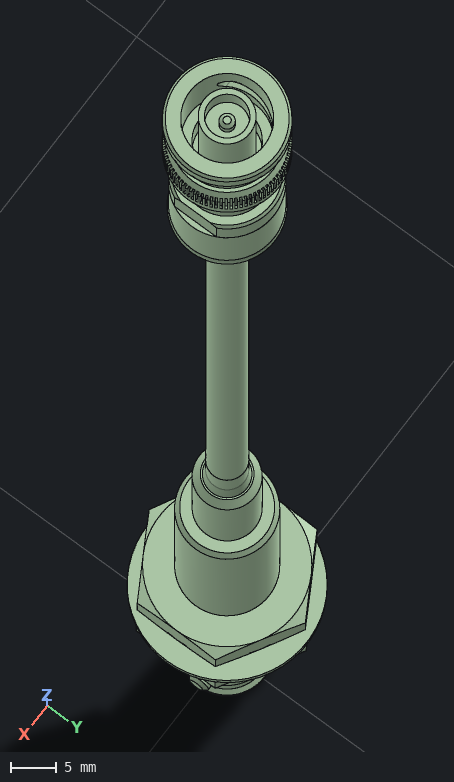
import cadquery as cq
import math

JACK_RIM_TOP = 1.4
JACK_NECK_TOP = 4.5
JACK_GROOVE_Z = 11.0
THREAD_BOTTOM = 23.1
NUT_BOTTOM = 25.0
NUT_HEIGHT = 3.2
WASHER_THICKNESS = 1.0
THREAD_GROOVE_BOTTOM = 30.5
THREAD_GROOVE_TOP = 32.2
HEX_FLANGE_BOTTOM = 33.0
HEX_FLANGE_TOP = 37.0
JACK_TOP = 61.5
FERRULE_TOP = 75.5
FERRULE_CONE_TOP = 77.5
CABLE_BOTTOM = 81.6
CABLE_TOP = 174.2
BOOT_CONE_BOTTOM = 185.7
BOOT_CONE_TOP = 187.3
BOOT_SHOULDER = 189.8
BOOT_TOP = 199.4
COLLAR_TOP = 203.5
COUPLING_BOTTOM = 211.0
KNURL_RING_BOTTOM = 212.7
KNURL_BOTTOM = 214.0
KNURL_TOP = 217.7
LIP_BOTTOM = 223.0
COUPLING_TOP = 226.0
TIP_TOP = 226.8

CABLE_RADIUS = 4.8 / 2
FERRULE_RADIUS = 3.9
FERRULE_CHAMFER = 1.0
FERRULE_CONE_RADIUS = 2.7
BOOT_RADIUS = 13.0 / 2
BOOT_CONE_RADIUS = 5.7
BOOT_CONE_FOOT_RADIUS = 3.2
BOOT_THROAT_HEIGHT = 0.7

JACK_RADIUS = 11.5 / 2
JACK_CHAMFER = 0.57
BARREL_RADIUS = 10.2 / 2
JACK_NECK_RADIUS = 4.5
JACK_EDGE = 0.5
JACK_GROOVE_WIDTH = 0.5
JACK_GROOVE_DEPTH = 0.2
LUG_RADIUS = 1.4
LUG_REACH = 5.7
LUG_EDGE = 0.5
LUG_Z = 3.0
THREAD_RADIUS = 12.5 / 2
THREAD_GROOVE_RADIUS = 5.7
FLANGE_ACROSS_FLATS = 18.5
NUT_ACROSS_FLATS = 18.8
FLANGE_CHAMFER_ANGLE = 20
NUT_CHAMFER_ANGLE = 30
WASHER_RADIUS = 22.0 / 2
WASHER_TEETH = 8
WASHER_GAP_REACH = 7.7
WASHER_GAP_WIDTH = 1.4

COLLAR_FLATS = 11.5
COLLAR_CHAMFER = 0.35
COUPLING_RADIUS = 14.3 / 2
COUPLING_FOOT_RADIUS = 13.0 / 2
COUPLING_NECK_RADIUS = 11.5 / 2
COUPLING_CHAMFER = 0.7
LIP_TOP_CHAMFER = 0.35
KNURL_COUNT = 80
KNURL_DEPTH = 0.35
KNURL_GROOVE_WIDTH = 0.27
KNURL_CHAMFER = 1.0
BAYONET_SLOT_LENGTH = 8.2
BAYONET_SLOT_WIDTH = 2.3
BAYONET_SLOT_TILT = 22
SHELL_TOP = 216.5
SHELL_BORE_RADIUS = 3.9
SHELL_BORE_DEPTH = 4.5
TIP_RADIUS = 3.2
TIP_BORE_RADIUS = 2.5
TIP_BORE_DEPTH = 3.5
PIN_RADIUS = 1.0
PIN_CHAMFER = 0.5
PIN_LENGTH = 6.8


def cylinder(radius, bottom, top):
    return cq.Workplane("XY").workplane(offset=bottom).circle(radius).extrude(top - bottom)


def ring(outer, inner, bottom, top):
    return cylinder(outer, bottom, top).cut(cylinder(inner, bottom, top))


def turned(outline):
    """Solid turned about Z from (radius, z) points that start and end on the axis."""
    return cq.Workplane("XZ").polyline(outline).close().revolve(360, (0, 0), (0, 1))


def hexagon(across_flats, bottom, height, chamfer_angle, chamfer_bottom):
    """Hexagon with flats facing X, its corners cut off by cones that start at the flats."""
    corner_radius = across_flats / math.sqrt(3)
    flat_radius = across_flats / 2
    drop = (corner_radius - flat_radius) * math.tan(math.radians(chamfer_angle))
    top = bottom + height
    prism = (
        cq.Workplane("XY")
        .workplane(offset=bottom)
        .transformed(rotate=(0, 0, 90))
        .polygon(6, 2 * corner_radius)
        .extrude(height)
    )
    envelope = [(0, bottom)]
    if chamfer_bottom:
        envelope += [(flat_radius, bottom), (corner_radius, bottom + drop)]
    else:
        envelope += [(corner_radius, bottom)]
    envelope += [(corner_radius, top - drop), (flat_radius, top), (0, top)]
    return prism.intersect(turned(envelope))


def make_cable():
    return cylinder(CABLE_RADIUS, CABLE_BOTTOM, CABLE_TOP)


def make_ferrule():
    """Crimp sleeve standing on the jack, with a tail that meets the cable."""
    return turned([
        (0, JACK_TOP),
        (FERRULE_RADIUS, JACK_TOP),
        (FERRULE_RADIUS, FERRULE_TOP - FERRULE_CHAMFER),
        (FERRULE_RADIUS - FERRULE_CHAMFER, FERRULE_TOP),
        (FERRULE_CONE_RADIUS, FERRULE_TOP),
        (CABLE_RADIUS, FERRULE_CONE_TOP),
        (CABLE_RADIUS, CABLE_BOTTOM),
        (0, CABLE_BOTTOM),
    ])


def make_boot():
    """Strain relief: a round-shouldered barrel that tapers to a tail on the cable."""
    return (
        cq.Workplane("XZ")
        .moveTo(0, CABLE_TOP)
        .lineTo(CABLE_RADIUS, CABLE_TOP)
        .lineTo(CABLE_RADIUS, BOOT_CONE_BOTTOM - BOOT_THROAT_HEIGHT)
        .lineTo(BOOT_CONE_FOOT_RADIUS, BOOT_CONE_BOTTOM)
        .lineTo(BOOT_CONE_RADIUS, BOOT_CONE_TOP)
        .tangentArcPoint((BOOT_RADIUS, BOOT_SHOULDER), relative=False)
        .lineTo(BOOT_RADIUS, BOOT_TOP)
        .lineTo(0, BOOT_TOP)
        .close()
        .revolve(360, (0, 0), (0, 1))
    )


def make_jack():
    """Bayonet jack with two lugs, a grooved thread and a hexagonal flange."""
    groove_radius = BARREL_RADIUS - JACK_GROOVE_DEPTH
    jack = turned([
        (0, 0),
        (BARREL_RADIUS - JACK_EDGE, 0),
        (BARREL_RADIUS, JACK_EDGE),
        (BARREL_RADIUS, JACK_RIM_TOP - JACK_EDGE),
        (JACK_NECK_RADIUS, JACK_RIM_TOP),
        (JACK_NECK_RADIUS, JACK_NECK_TOP),
        (BARREL_RADIUS, JACK_NECK_TOP + JACK_EDGE),
        (BARREL_RADIUS, JACK_GROOVE_Z - JACK_GROOVE_WIDTH / 2),
        (groove_radius, JACK_GROOVE_Z),
        (BARREL_RADIUS, JACK_GROOVE_Z + JACK_GROOVE_WIDTH / 2),
        (BARREL_RADIUS, THREAD_BOTTOM),
        (THREAD_RADIUS, THREAD_BOTTOM + THREAD_RADIUS - BARREL_RADIUS),
        (THREAD_RADIUS, THREAD_GROOVE_BOTTOM),
        (THREAD_GROOVE_RADIUS, (THREAD_GROOVE_BOTTOM + THREAD_GROOVE_TOP) / 2),
        (THREAD_RADIUS, THREAD_GROOVE_TOP),
        (THREAD_RADIUS, HEX_FLANGE_BOTTOM),
        (JACK_RADIUS, HEX_FLANGE_BOTTOM),
        (JACK_RADIUS, JACK_TOP - JACK_CHAMFER),
        (JACK_RADIUS - JACK_CHAMFER, JACK_TOP),
        (0, JACK_TOP),
    ])
    flange_height = HEX_FLANGE_TOP - HEX_FLANGE_BOTTOM
    flange = hexagon(FLANGE_ACROSS_FLATS, HEX_FLANGE_BOTTOM, flange_height, FLANGE_CHAMFER_ANGLE, True)
    jack = jack.union(flange)
    lugs = (
        cq.Workplane("YZ", origin=(-LUG_REACH, 0, LUG_Z))
        .circle(LUG_RADIUS)
        .extrude(2 * LUG_REACH)
        .faces("<X or >X")
        .chamfer(LUG_EDGE)
    )
    return jack.union(lugs)


def make_nut():
    """Hexagonal nut on the thread of the jack."""
    nut = hexagon(NUT_ACROSS_FLATS, NUT_BOTTOM, NUT_HEIGHT, NUT_CHAMFER_ANGLE, False)
    return nut.cut(cylinder(THREAD_RADIUS, NUT_BOTTOM, NUT_BOTTOM + NUT_HEIGHT))


def make_washer():
    """Lock washer whose inner teeth are parted by radial gaps."""
    bottom = NUT_BOTTOM + NUT_HEIGHT
    top = bottom + WASHER_THICKNESS
    washer = ring(WASHER_RADIUS, THREAD_RADIUS, bottom, top)
    gaps = (
        cq.Workplane("XY")
        .workplane(offset=bottom)
        .polarArray(WASHER_GAP_REACH / 2, 180 / WASHER_TEETH, 360, WASHER_TEETH)
        .rect(WASHER_GAP_REACH, WASHER_GAP_WIDTH)
        .extrude(WASHER_THICKNESS)
    )
    return washer.cut(gaps)


def make_plug_body():
    """Plug shell: a collar with two wrench flats, a tube and an inner hollow tip."""
    body = turned([
        (0, BOOT_TOP),
        (BOOT_RADIUS, BOOT_TOP),
        (BOOT_RADIUS, COLLAR_TOP - COLLAR_CHAMFER),
        (BOOT_RADIUS - COLLAR_CHAMFER, COLLAR_TOP),
        (BARREL_RADIUS, COLLAR_TOP),
        (BARREL_RADIUS, SHELL_TOP),
        (SHELL_BORE_RADIUS, SHELL_TOP),
        (SHELL_BORE_RADIUS, SHELL_TOP - SHELL_BORE_DEPTH),
        (TIP_RADIUS, SHELL_TOP - SHELL_BORE_DEPTH),
        (TIP_RADIUS, TIP_TOP),
        (0, TIP_TOP),
    ])
    flats = cq.Workplane("XY").box(COLLAR_FLATS, 2 * BOOT_RADIUS, 2 * TIP_TOP)
    body = body.intersect(flats)
    body = body.cut(cylinder(TIP_BORE_RADIUS, TIP_TOP - TIP_BORE_DEPTH, TIP_TOP))
    return body.cut(make_pin())


def make_pin():
    """Centre contact standing in the floor of the hollow tip."""
    top = TIP_TOP - TIP_BORE_DEPTH / 2
    return cylinder(PIN_RADIUS, top - PIN_LENGTH, top).faces(">Z").chamfer(PIN_CHAMFER)


def make_coupling():
    """Turning ring of the plug, with a knurled band and two slanted bayonet slots."""
    chamfer = COUPLING_CHAMFER
    nut = turned([
        (0, COUPLING_BOTTOM),
        (COUPLING_FOOT_RADIUS - chamfer, COUPLING_BOTTOM),
        (COUPLING_FOOT_RADIUS, COUPLING_BOTTOM + chamfer),
        (COUPLING_FOOT_RADIUS, KNURL_RING_BOTTOM),
        (COUPLING_RADIUS, KNURL_RING_BOTTOM),
        (COUPLING_RADIUS, KNURL_TOP - KNURL_CHAMFER),
        (COUPLING_RADIUS - KNURL_CHAMFER, KNURL_TOP),
        (COUPLING_NECK_RADIUS, KNURL_TOP),
        (COUPLING_NECK_RADIUS, LIP_BOTTOM - chamfer),
        (COUPLING_RADIUS, LIP_BOTTOM + chamfer),
        (COUPLING_RADIUS, COUPLING_TOP - LIP_TOP_CHAMFER),
        (COUPLING_RADIUS - LIP_TOP_CHAMFER, COUPLING_TOP),
        (0, COUPLING_TOP),
    ])
    nut = nut.cut(cylinder(BARREL_RADIUS, COUPLING_BOTTOM, COUPLING_TOP))
    knurl = (
        cq.Workplane("XY")
        .workplane(offset=KNURL_BOTTOM)
        .polarArray(COUPLING_RADIUS, 0, 360, KNURL_COUNT)
        .rect(2 * KNURL_DEPTH, KNURL_GROOVE_WIDTH)
        .extrude(KNURL_TOP - KNURL_BOTTOM)
    )
    nut = nut.cut(knurl)
    slot_z = (KNURL_TOP + LIP_BOTTOM) / 2
    slot = (
        cq.Workplane("YZ", origin=(0, 0, slot_z))
        .slot2D(BAYONET_SLOT_LENGTH, BAYONET_SLOT_WIDTH, -BAYONET_SLOT_TILT)
        .extrude(-COUPLING_RADIUS)
    )
    return nut.cut(slot).cut(slot.rotate((0, 0, 0), (0, 0, 1), 180))


cable = make_cable()
ferrule = make_ferrule()
boot = make_boot()
jack = make_jack()
nut = make_nut()
washer = make_washer()
plug_body = make_plug_body()
pin = make_pin()
coupling = make_coupling()

result = cq.Compound.makeCompound([
    cable.val(),
    ferrule.val(),
    boot.val(),
    jack.val(),
    nut.val(),
    washer.val(),
    plug_body.val(),
    pin.val(),
    coupling.val(),
])